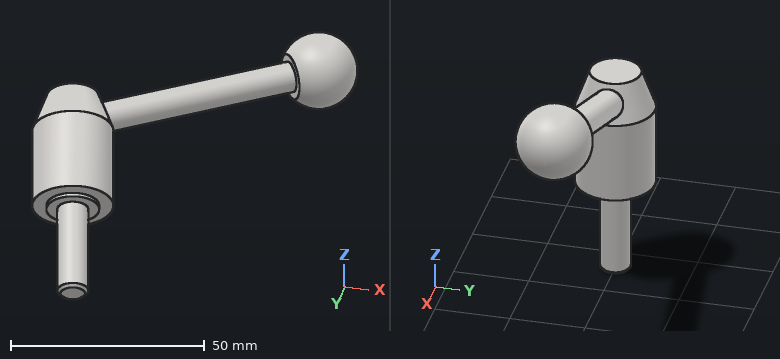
import cadquery as cq
import math


hub_diameter = 21.0
hub_top_diameter = 13.5
hub_height = 22.2
cone_height = 10.35
collar_diameter = 13.7
collar_height = 1.0
stud_diameter = 8.0
stud_length = 25.0
stud_chamfer = 0.85

arm_diameter = 8.0
arm_angle = 20.0
ball_diameter = 20.0
ball_flat_diameter = 12.0
overall_length = 85.5
overall_height = 83.9

hub_bottom = stud_length + collar_height
cone_bottom = hub_bottom + hub_height
hub_top = cone_bottom + cone_height
ball_radius = ball_diameter / 2
ball_x = overall_length - hub_diameter / 2 - ball_radius
ball_z = overall_height - ball_radius
arm_length = ball_x / math.cos(math.radians(arm_angle))
arm_start_z = ball_z - ball_x * math.tan(math.radians(arm_angle))
flat_distance = math.sqrt(ball_radius**2 - (ball_flat_diameter / 2) ** 2)


def make_hub():
    """Revolve the stud, collar and tapered hub as one profile."""
    stud_radius = stud_diameter / 2
    profile = [
        (0, 0),
        (stud_radius - stud_chamfer, 0),
        (stud_radius, stud_chamfer),
        (stud_radius, stud_length),
        (collar_diameter / 2, stud_length),
        (collar_diameter / 2, hub_bottom),
        (hub_diameter / 2, hub_bottom),
        (hub_diameter / 2, cone_bottom),
        (hub_top_diameter / 2, hub_top),
        (0, hub_top),
    ]
    return cq.Workplane("XZ").polyline(profile).close().revolve(360, (0, 0), (0, 1))


def make_arm_and_ball():
    """Build the arm along its own axis, from the hub axis to the ball centre."""
    arm = cq.Workplane("XY").circle(arm_diameter / 2).extrude(arm_length)
    ball = (
        cq.Workplane("XZ")
        .moveTo(0, -flat_distance)
        .lineTo(ball_flat_diameter / 2, -flat_distance)
        .threePointArc((ball_radius, 0), (0, ball_radius))
        .close()
        .revolve(360, (0, 0), (0, 1))
        .translate((0, 0, arm_length))
    )
    tilted = arm.union(ball).rotate((0, 0, 0), (0, 1, 0), 90 - arm_angle)
    return tilted.translate((0, 0, arm_start_z))


result = make_hub().union(make_arm_and_ball())